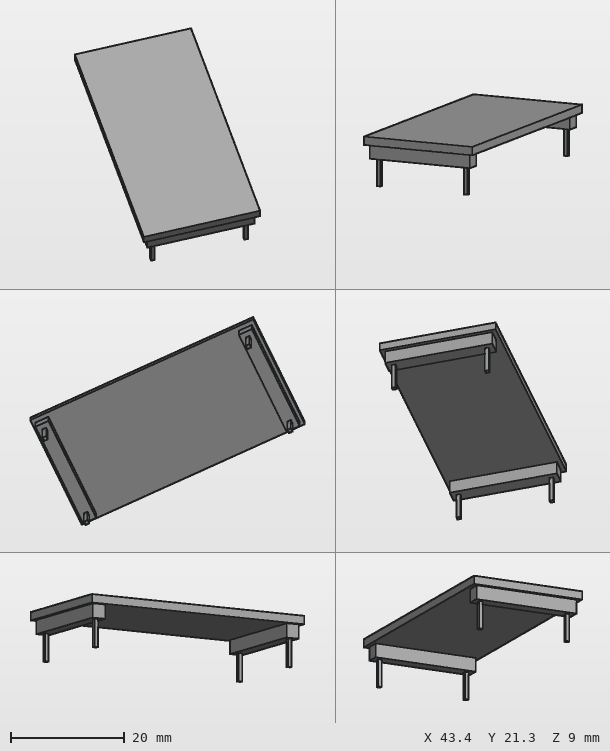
import cadquery as cq

board_length = 43.4
board_width = 21.3
board_thickness = 1.5

strip_width = 2.5
strip_length = 19.7
strip_height = 2.5
strip_spacing = 39.6

pin_side = 0.7
pin_length = 5.0
pin_spacing_y = 17.1


def make_board():
    return cq.Workplane("XY").box(
        board_length, board_width, board_thickness, centered=(True, True, False)
    )


def make_strip(x):
    """Rectangular strip centred at x, with its top against the board."""
    strip = cq.Workplane("XY").box(
        strip_width, strip_length, strip_height, centered=(True, True, False)
    )
    return strip.translate((x, 0, -strip_height))


def make_pin(x, y):
    """Square pin centred at (x, y), with its top against a strip."""
    pin = cq.Workplane("XY").box(
        pin_side, pin_side, pin_length, centered=(True, True, False)
    )
    return pin.translate((x, y, -strip_height - pin_length))


board = make_board()
strips = [make_strip(side * strip_spacing / 2) for side in (-1, 1)]
pins = [
    make_pin(side_x * strip_spacing / 2, side_y * pin_spacing_y / 2)
    for side_x in (-1, 1)
    for side_y in (-1, 1)
]

result = cq.Compound.makeCompound(
    [board.val(), *[strip.val() for strip in strips], *[pin.val() for pin in pins]]
)